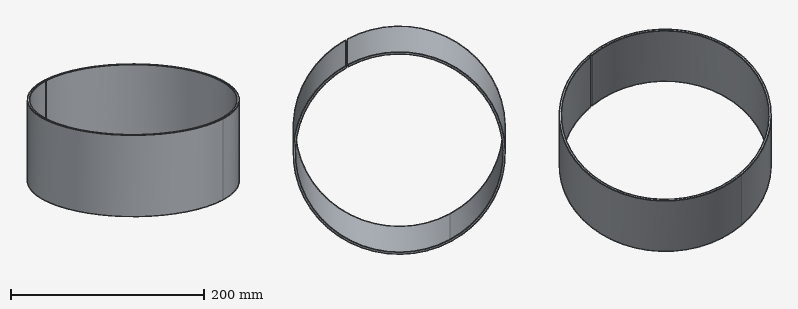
import cadquery as cq

outer_diameter = 220.0
wall = 2.6
height = 90.0
slit_width = 2.0
rim_chamfer = 0.5

outer_radius = outer_diameter / 2
inner_radius = outer_radius - wall

ring = (
    cq.Workplane("XY")
    .circle(outer_radius)
    .circle(inner_radius)
    .extrude(height)
    .faces("|Z")
    .edges()
    .chamfer(rim_chamfer)
)

slit = (
    cq.Workplane("XY")
    .box(outer_radius, slit_width, height, centered=(False, False, False))
    .translate((-outer_radius, 0, 0))
)

result = ring.cut(slit)